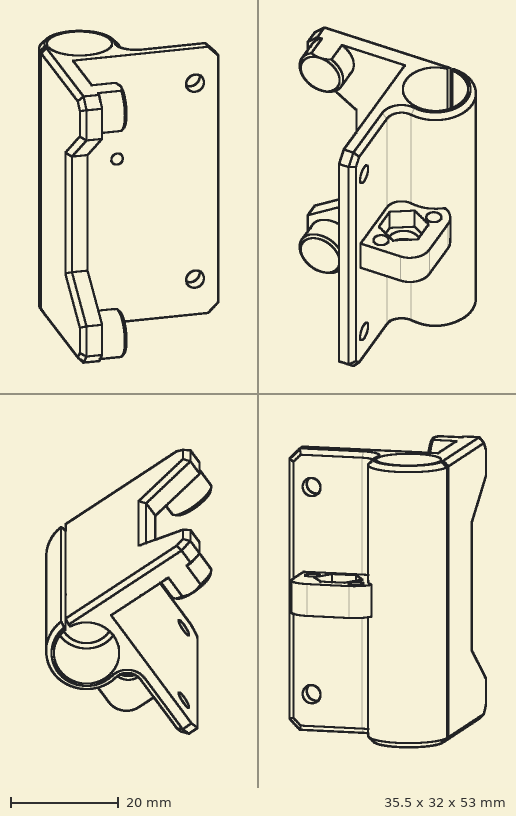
import cadquery as cq
import math

HEIGHT = 53.0
MID_Z = HEIGHT / 2
EDGE_CHAMFER = 1.0
CORNER_CHAMFER = 2.0

TUBE_RADIUS = 7.5
BEARING_DIAMETER = 12.1
BEARING_LENGTH = 19.0
BORE_DIAMETER = 10.0
SLIT_WIDTH = 1.0

SIDE_INNER_X = 8.0
SIDE_OUTER_X = 5.0
SIDE_END_Y = 24.5
SIDE_FILLET = 3.0
SIDE_HOLE_DIAMETER = 3.4
SIDE_HOLE_Y = 20.0
SIDE_HOLE_SPACING = 39.0

PIN_HOLE_DIAMETER = 2.2
PIN_HOLE_Y = BORE_DIAMETER / 2
PIN_HOLE_RISE = 6.0
PIN_HOLE_Z = MID_Z + PIN_HOLE_RISE

FRONT_THICKNESS = 4.0
FRONT_OUTER_Y = -TUBE_RADIUS
FRONT_INNER_Y = FRONT_OUTER_Y + FRONT_THICKNESS
FRONT_END_X = 28.0
NOTCH_DEPTH = 10.0
NOTCH_FLOOR_HEIGHT = 23.0
NOTCH_MOUTH_HEIGHT = 37.0

BOSS_DIAMETER = 9.0
BOSS_HEIGHT = 5.0
BOSS_CHAMFER = 0.5
BOSS_X = 23.0
BOSS_END_DISTANCE = 4.0

BRACKET_THICKNESS = 6.0
BRACKET_BOTTOM_Z = 24.0
BRACKET_OUTER_X = -7.2
BRACKET_CENTER_Y = 13.5
BRACKET_LENGTH = 16.0
BRACKET_CORNER_RADIUS = 4.0
ROD_HOLE_DIAMETER = 6.0
NUT_FLATS = 8.0
NUT_SIDES = 6
NUT_TURN = 180.0 / NUT_SIDES
NUT_DEPTH = 4.0
SCREW_HOLE_DIAMETER = 2.8
SCREW_POSITIONS = [(2.0, 19.0), (-4.0, 9.0)]

OVERCUT = 1.0


def make_body():
    """L-shaped section whose outer corner is rounded into the bearing tube."""
    fillet_x = SIDE_OUTER_X - SIDE_FILLET
    center_distance = TUBE_RADIUS + SIDE_FILLET
    fillet_y = math.sqrt(center_distance**2 - fillet_x**2)
    tangent_scale = TUBE_RADIUS / center_distance
    tangent = (fillet_x * tangent_scale, fillet_y * tangent_scale)
    fillet_mid_angle = math.atan2(-fillet_y, -fillet_x) / 2
    fillet_mid = (
        fillet_x + SIDE_FILLET * math.cos(fillet_mid_angle),
        fillet_y + SIDE_FILLET * math.sin(fillet_mid_angle),
    )
    return (
        cq.Workplane("XY")
        .moveTo(0, FRONT_OUTER_Y)
        .lineTo(FRONT_END_X, FRONT_OUTER_Y)
        .lineTo(FRONT_END_X, FRONT_INNER_Y)
        .lineTo(SIDE_INNER_X, FRONT_INNER_Y)
        .lineTo(SIDE_INNER_X, SIDE_END_Y)
        .lineTo(SIDE_OUTER_X, SIDE_END_Y)
        .lineTo(SIDE_OUTER_X, fillet_y)
        .threePointArc(fillet_mid, tangent)
        .threePointArc((-TUBE_RADIUS, 0), (0, FRONT_OUTER_Y))
        .close()
        .extrude(HEIGHT)
    )


def cut_notch(body):
    """Tapered opening in the free end of the front plate."""
    floor_x = FRONT_END_X - NOTCH_DEPTH
    half_floor = NOTCH_FLOOR_HEIGHT / 2
    half_mouth = NOTCH_MOUTH_HEIGHT / 2
    notch = (
        cq.Workplane("XZ", origin=(0, FRONT_INNER_Y, MID_Z))
        .polyline([
            (floor_x, -half_floor),
            (FRONT_END_X, -half_mouth),
            (FRONT_END_X, half_mouth),
            (floor_x, half_floor),
        ])
        .close()
        .extrude(FRONT_THICKNESS)
    )
    return body.cut(notch)


def chamfer_body(body):
    """Bevel the free plate corners, then the whole rim of the outer surface."""
    body = body.faces(">X").edges("|Y").edges("<Z or >Z").chamfer(CORNER_CHAMFER)
    body = body.faces(">Y").edges("|X").chamfer(CORNER_CHAMFER)
    front_rim = body.faces("<Y").edges("not(<X)")
    side_rim = body.faces("-X").edges(">Y or (not |Z)")
    return front_rim.add(side_rim).chamfer(EDGE_CHAMFER)


def add_bosses(body):
    """Chamfered round bosses, trimmed flush with both ends of the part."""
    for z in (BOSS_END_DISTANCE, HEIGHT - BOSS_END_DISTANCE):
        boss = (
            cq.Workplane("XZ", origin=(BOSS_X, FRONT_INNER_Y, z))
            .circle(BOSS_DIAMETER / 2)
            .extrude(-BOSS_HEIGHT)
            .faces(">Y")
            .chamfer(BOSS_CHAMFER)
        )
        envelope = cq.Workplane("XY").box(
            2 * FRONT_END_X, 2 * SIDE_END_Y, HEIGHT, centered=(True, True, False)
        )
        body = body.union(boss.intersect(envelope))
    return body


def add_bracket(body):
    """Rounded ear between tube and side plate, with nut pocket and screw holes."""
    length_x = SIDE_OUTER_X - BRACKET_OUTER_X
    bracket = (
        cq.Workplane("XY", origin=(BRACKET_OUTER_X + length_x / 2, BRACKET_CENTER_Y, BRACKET_BOTTOM_Z))
        .rect(length_x, BRACKET_LENGTH)
        .extrude(BRACKET_THICKNESS)
        .edges("|Z and <X")
        .fillet(BRACKET_CORNER_RADIUS)
    )
    nut_corners = NUT_FLATS / math.cos(math.pi / NUT_SIDES)
    top_z = BRACKET_BOTTOM_Z + BRACKET_THICKNESS
    nut = (
        cq.Workplane("XY", origin=(0, BRACKET_CENTER_Y, top_z - NUT_DEPTH))
        .transformed(rotate=(0, 0, NUT_TURN))
        .polygon(NUT_SIDES, nut_corners)
        .extrude(NUT_DEPTH)
    )
    rod_hole = (
        cq.Workplane("XY", origin=(0, BRACKET_CENTER_Y, BRACKET_BOTTOM_Z))
        .circle(ROD_HOLE_DIAMETER / 2)
        .extrude(BRACKET_THICKNESS)
    )
    screw_holes = (
        cq.Workplane("XY", origin=(0, 0, BRACKET_BOTTOM_Z))
        .pushPoints(SCREW_POSITIONS)
        .circle(SCREW_HOLE_DIAMETER / 2)
        .extrude(BRACKET_THICKNESS)
    )
    return body.union(bracket).cut(nut).cut(rod_hole).cut(screw_holes)


def cut_bore(body):
    """Through bore with a bearing seat at each end and a clamping slit."""
    bore = cq.Workplane("XY").circle(BORE_DIAMETER / 2).extrude(HEIGHT)
    body = body.cut(bore)
    for seat_z in (0, HEIGHT - BEARING_LENGTH):
        seat = (
            cq.Workplane("XY", origin=(0, 0, seat_z))
            .circle(BEARING_DIAMETER / 2)
            .extrude(BEARING_LENGTH)
        )
        body = body.cut(seat)
    slit = cq.Workplane("XY").box(
        SLIT_WIDTH, TUBE_RADIUS + OVERCUT, HEIGHT, centered=(True, False, False)
    )
    return body.cut(slit.translate((0, -TUBE_RADIUS - OVERCUT, 0)))


def cut_side_holes(body):
    """Mounting holes through the side plate."""
    holes = (
        cq.Workplane("YZ", origin=(SIDE_OUTER_X, SIDE_HOLE_Y, MID_Z))
        .pushPoints([(0, -SIDE_HOLE_SPACING / 2), (0, SIDE_HOLE_SPACING / 2)])
        .circle(SIDE_HOLE_DIAMETER / 2)
        .extrude(SIDE_INNER_X - SIDE_OUTER_X)
    )
    return body.cut(holes)


def cut_pin_hole(body):
    """Blind hole along X, from the inner face of the side plate to the bore centre plane."""
    hole = (
        cq.Workplane("YZ", origin=(0, PIN_HOLE_Y, PIN_HOLE_Z))
        .circle(PIN_HOLE_DIAMETER / 2)
        .extrude(SIDE_INNER_X)
    )
    return body.cut(hole)


result = make_body()
result = cut_notch(result)
result = chamfer_body(result)
result = add_bosses(result)
result = add_bracket(result)
result = cut_bore(result)
result = cut_side_holes(result)
result = cut_pin_hole(result)